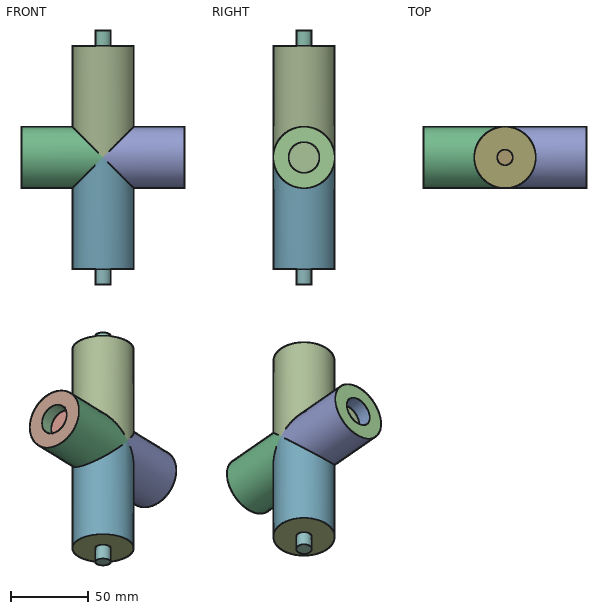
import cadquery as cq

total_height = 165.0
arm_span = 106.0
body_diameter = 40.0
pin_diameter = 10.0
pin_length = 10.0
socket_diameter = 20.0
socket_depth = 10.0

column_height = total_height - 2 * pin_length


def centred_cylinder(plane, diameter, length):
    """Cylinder centred on the origin, along the normal of the plane."""
    return cq.Workplane(plane).circle(diameter / 2).extrude(length / 2, both=True)


column = centred_cylinder("XY", body_diameter, column_height)
arms = centred_cylinder("YZ", body_diameter, arm_span)
pins = centred_cylinder("XY", pin_diameter, total_height)
result = column.union(arms).union(pins)

for end_face in ("<X", ">X"):
    result = result.faces(end_face).workplane(centerOption="CenterOfBoundBox").hole(
        socket_diameter, socket_depth
    )